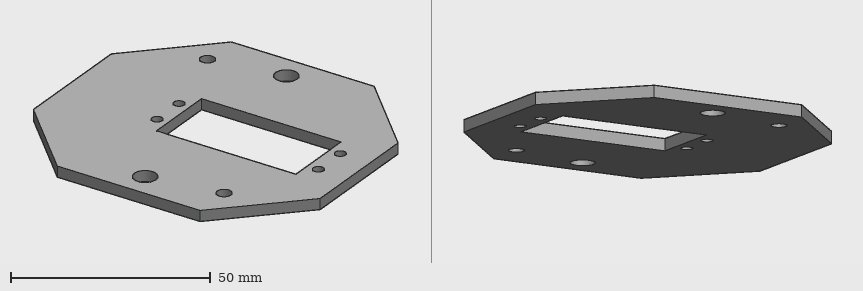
import cadquery as cq

plate_length = 86.0
plate_width = 79.1
plate_thickness = 3.2
corner_cut_x = 21.6
corner_cut_y = 21.8

window_center_x = 9.9
window_length = 41.8
window_width = 20.5
screw_hole_diameter = 3.0
screw_spacing_x = 48.3
screw_spacing_y = 10.0

large_hole_diameter = 6.4
large_hole_y = 32.1

medium_hole_diameter = 4.0
medium_hole_x = 21.3
medium_hole_y = 28.55


def make_plate():
    """Plate resting on Z = 0, centred in X and Y, with its four corners cut off."""
    half_length = plate_length / 2
    half_width = plate_width / 2
    flat_x = half_length - corner_cut_x
    flat_y = half_width - corner_cut_y
    outline = [
        (half_length, -flat_y),
        (half_length, flat_y),
        (flat_x, half_width),
        (-flat_x, half_width),
        (-half_length, flat_y),
        (-half_length, -flat_y),
        (-flat_x, -half_width),
        (flat_x, -half_width),
    ]
    return cq.Workplane("XY").polyline(outline).close().extrude(plate_thickness)


def make_pins(centers, diameter):
    """Cylinders through the plate thickness, used to cut holes."""
    return cq.Workplane("XY").pushPoints(centers).circle(diameter / 2).extrude(plate_thickness)


window = (
    cq.Workplane("XY")
    .center(window_center_x, 0)
    .rect(window_length, window_width)
    .extrude(plate_thickness)
)

screw_centers = [
    (window_center_x + side_x * screw_spacing_x / 2, side_y * screw_spacing_y / 2)
    for side_x in (-1, 1)
    for side_y in (-1, 1)
]
large_centers = [(0, large_hole_y), (0, -large_hole_y)]
medium_centers = [(-medium_hole_x, medium_hole_y), (medium_hole_x, -medium_hole_y)]

result = (
    make_plate()
    .cut(window)
    .cut(make_pins(screw_centers, screw_hole_diameter))
    .cut(make_pins(large_centers, large_hole_diameter))
    .cut(make_pins(medium_centers, medium_hole_diameter))
)